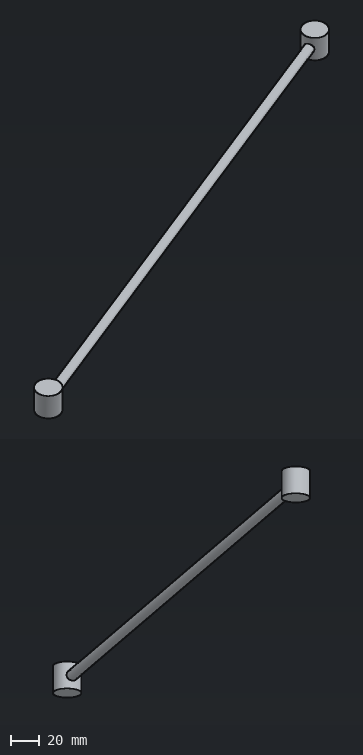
import cadquery as cq

overall_length = 468.0
post_diameter = 20.0
post_height = 20.0
rod_diameter = 8.0

post_spacing = overall_length - post_diameter


def end_post(y_center):
    """Upright cylinder centred on the rod axis."""
    return (
        cq.Workplane("XY", origin=(0, y_center, -post_height / 2))
        .circle(post_diameter / 2)
        .extrude(post_height)
    )


def rod():
    """Round rod along Y, running from one post axis to the other."""
    return (
        cq.Workplane("XZ")
        .circle(rod_diameter / 2)
        .extrude(post_spacing / 2, both=True)
    )


result = rod()
for side in (-1, 1):
    result = result.union(end_post(side * post_spacing / 2))